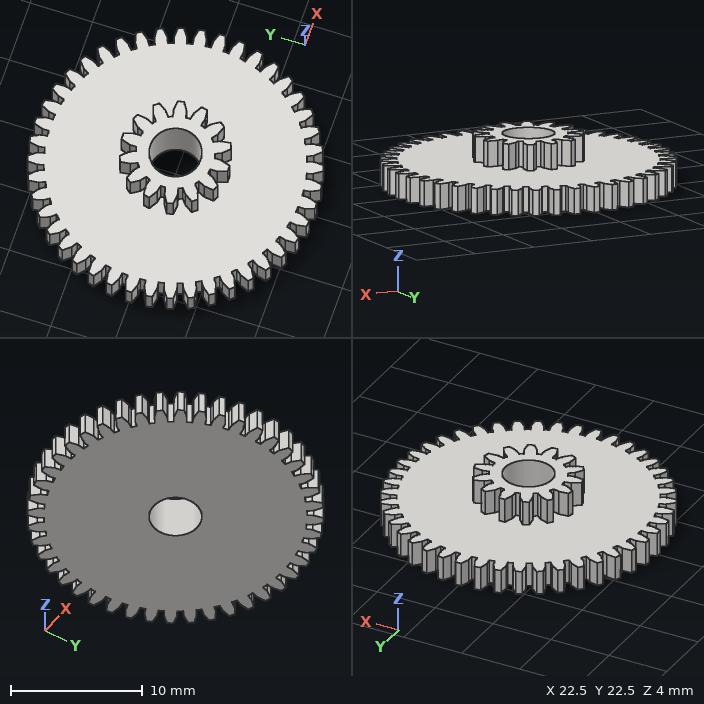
import cadquery as cq

layer_height = 2.0
bore_diameter = 4.0

wheel_teeth = 44
wheel_tip_diameter = 22.5
wheel_root_diameter = 20.0

pinion_teeth = 14
pinion_tip_diameter = 8.5
pinion_root_diameter = 6.0

tooth_width = 1.0
tip_width = tooth_width / 2
taper_height = 0.75


def tooth_outline(tip_radius):
    """One closed tooth on the +Y axis, starting at the gear centre so that it overlaps the root disc."""
    taper_start = tip_radius - taper_height
    return (
        cq.Workplane("XY")
        .moveTo(-tooth_width / 2, 0)
        .lineTo(-tooth_width / 2, taper_start)
        .lineTo(-tip_width / 2, tip_radius)
        .lineTo(tip_width / 2, tip_radius)
        .lineTo(tooth_width / 2, taper_start)
        .lineTo(tooth_width / 2, 0)
        .close()
    )


def spur_gear(tooth_count, tip_diameter, root_diameter):
    """A root disc resting on Z = 0, with evenly spaced teeth and one tooth pointing along +Y."""
    gear = cq.Workplane("XY").circle(root_diameter / 2).extrude(layer_height)
    tooth = tooth_outline(tip_diameter / 2).extrude(layer_height)
    for index in range(tooth_count):
        angle = index * 360 / tooth_count
        gear = gear.union(tooth.rotate((0, 0, 0), (0, 0, 1), angle))
    return gear


wheel = spur_gear(wheel_teeth, wheel_tip_diameter, wheel_root_diameter)
pinion = spur_gear(pinion_teeth, pinion_tip_diameter, pinion_root_diameter).translate((0, 0, layer_height))

bore = cq.Workplane("XY").circle(bore_diameter / 2).extrude(2 * layer_height)

result = wheel.union(pinion).cut(bore)